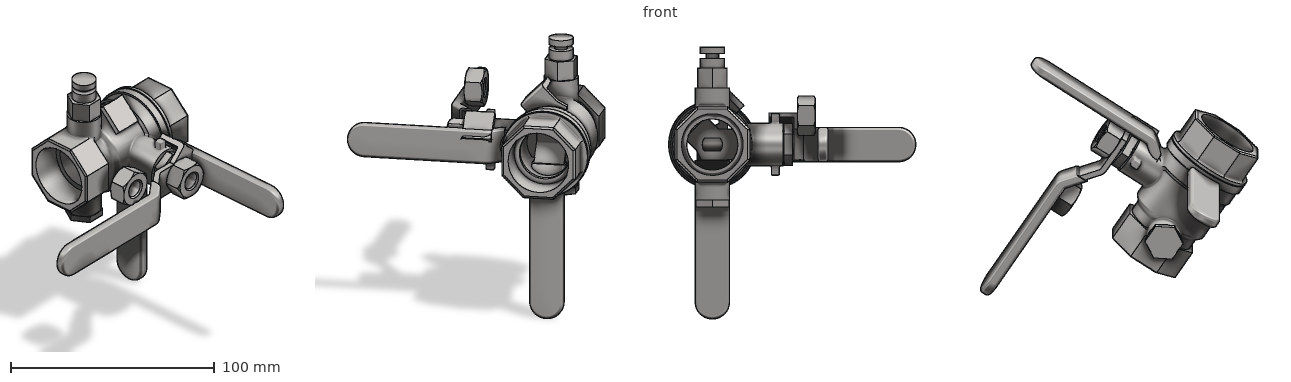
import cadquery as cq
import math


THREAD_DIAMETER = 30.3
THROAT_DIAMETER = 25.0
THREAD_DEPTH = 14.8
OCTAGON_FLATS = 36.9
OCTAGON_BEVEL = 1.1
OCTAGON_BEVEL_LENGTH = 0.5

BODY_END_Y = -40.1
BODY_OCTAGON_TOP_Y = -24.2
WAIST_DIAMETER = 34.2
WAIST_TOP_Y = -18.5
BARREL_DIAMETER = 39.0
BARREL_BOTTOM_Y = -16.1
BARREL_TOP_Y = 4.5
COLLAR_DIAMETER = 41.0
COLLAR_BOTTOM_Y = 5.9
BODY_FLANGE_BOTTOM_Y = 13.3
FLANGE_DIAMETER = 43.0
WAIST_FILLET = 1.6

SEAM_Y = 17.6
SEAM_DIAMETER = 42.5
SEAM_WIDTH = 0.4
CAP_FLANGE_TOP_Y = 19.6
CAP_END_Y = 34.5
CAP_FILLET = 1.1

NECK_DIAMETER = 21.0
NECK_END_X = 34.5
PORT_DIAMETER = 17.0
PORT_Y = -21.7
PORT_TOP_Z = 27.8
PORT_BOTTOM_Z = -27.3
PORT_FILLET = 1.0
NECK_FILLET = 1.3

LUG_X = 31.0
LUG_LENGTH = 4.0
LUG_WIDTH = 4.0
LUG_TIP_Z = 15.0
LUG_FILLET = 0.7

JOINT_TOLERANCE = 0.001

VENT_HEX_FLATS = 14.5
VENT_HEX_HEIGHT = 9.7
VENT_CAP_DIAMETER = 12.0
VENT_GROOVE_DIAMETER = 6.5
VENT_SHOULDER_HEIGHT = 4.8
VENT_GROOVE_HEIGHT = 2.3
VENT_DISC_HEIGHT = 3.2

PLUG_HEX_FLATS = 16.3
PLUG_HEIGHT = 3.2

GLAND_COLLAR_DIAMETER = 13.0
GLAND_COLLAR_LENGTH = 0.7
GLAND_HEX_FLATS = 17.9
GLAND_HEX_LENGTH = 4.0
STEM_DIAMETER = 10.0
STEM_FLATS = 6.5

NUT_FLATS = 16.8
NUT_LENGTH = 8.9
NUT_BEVEL_DIAMETER = 17.0
NUT_BEVEL_ANGLE = 30.0
NUT_BORE = 8.5
NUT_COUNTERSINK = 10.0
LOOSE_NUT_PLACE = (41.7, -40.0, 14.3)

STRIP_THICKNESS = 2.8
STRIP_WIDTH = 15.0
GRIP_THICKNESS = 5.0
GRIP_WIDTH = 17.0
GRIP_EDGE_FILLET = 1.5
GRIP_START = 22.2
HANDLE_REACH = 100.0
JOG_HEIGHT = 12.9
JOG_ANGLE = math.radians(38)
HUB_BEND_START = 12.2
HUB_BEND_RADIUS = 5.0
GRIP_BEND_RADIUS = 4.0
HUB_BACK = -7.8
HUB_BACK_SIDE = -2.8
HUB_CORNER = -5.4
TAB_REACH = 14.5
TAB_LENGTH = 15.0
TAB_OUTER_FILLET = 1.9
TAB_INNER_FILLET = 1.0
TAB_ANGLE = -135.0

MOUNTED_HUB_X = 41.4
LEVEL_HUB_Y = -0.5
HANGING_HUB_Y = 0.5
HANGING_HUB_Z = 14.3


def cylinder_x(diameter, start, length):
    return cq.Workplane("YZ", origin=(start, 0, 0)).circle(diameter / 2).extrude(length)


def cylinder_y(diameter, start, length):
    return cq.Workplane("XZ", origin=(0, start, 0)).circle(diameter / 2).extrude(-length)


def hexagon_corners(flats):
    """Width across corners of a hexagon from its width across flats."""
    return flats / math.cos(math.radians(30))


def octagon_end(inner_y, outer_y):
    """Octagonal end block from inner_y to outer_y, with its outer edges bevelled."""
    half_side_angle = 180 / 8
    corners = OCTAGON_FLATS / math.cos(math.radians(half_side_angle))
    length = outer_y - inner_y
    block = (
        cq.Workplane("XZ", origin=(0, inner_y, 0))
        .transformed(rotate=(0, 0, half_side_angle))
        .polygon(8, corners)
        .extrude(-length)
    )
    outer_face = ">Y" if length > 0 else "<Y"
    return block.faces(outer_face).chamfer(OCTAGON_BEVEL_LENGTH, OCTAGON_BEVEL)


def lies_on(edge, part):
    """True if the edge runs along the outer surface of the part."""
    skin = part.shells().val()
    points = [edge.positionAt(fraction).toTuple() for fraction in (0.2, 0.5, 0.8)]
    return all(skin.distance(cq.Vertex.makeVertex(*point)) < JOINT_TOLERANCE for point in points)


def fillet_joint(part, addition, radius):
    """Join an addition to a part and fillet the edges where their surfaces meet."""
    joined = part.union(addition)
    joint = [edge for edge in joined.edges().vals() if lies_on(edge, addition) and lies_on(edge, part)]
    return joined.newObject(joint).fillet(radius)


def jog_edge(offset):
    """Straight and arc points of the bent centre line, moved sideways by offset."""
    half = JOG_ANGLE / 2
    first_corner = HUB_BEND_START + HUB_BEND_RADIUS * math.tan(half)
    second_corner = first_corner + JOG_HEIGHT / math.tan(JOG_ANGLE)
    bend_end = second_corner + GRIP_BEND_RADIUS * math.tan(half)
    hub_radius = HUB_BEND_RADIUS - offset
    grip_radius = GRIP_BEND_RADIUS + offset
    grip_centre_y = JOG_HEIGHT - GRIP_BEND_RADIUS

    def hub_point(angle):
        return (
            HUB_BEND_START + hub_radius * math.sin(angle),
            HUB_BEND_RADIUS - hub_radius * math.cos(angle),
        )

    def grip_point(angle):
        return (
            bend_end - grip_radius * math.sin(angle),
            grip_centre_y + grip_radius * math.cos(angle),
        )

    hub_bend = [hub_point(angle) for angle in (0, half, JOG_ANGLE)]
    grip_bend = [grip_point(angle) for angle in (JOG_ANGLE, half, 0)]
    return hub_bend, grip_bend


def jog_strip(thickness, width):
    """Strip along X that steps up by the jog height between its two bends."""
    half = thickness / 2
    low_hub, low_grip = jog_edge(-half)
    high_hub, high_grip = jog_edge(half)
    return (
        cq.Workplane("XY")
        .moveTo(HUB_BACK, -half)
        .lineTo(*low_hub[0])
        .threePointArc(*low_hub[1:])
        .lineTo(*low_grip[0])
        .threePointArc(*low_grip[1:])
        .lineTo(HANDLE_REACH, JOG_HEIGHT - half)
        .lineTo(HANDLE_REACH, JOG_HEIGHT + half)
        .lineTo(*high_grip[2])
        .threePointArc(high_grip[1], high_grip[0])
        .lineTo(*high_hub[2])
        .threePointArc(high_hub[1], high_hub[0])
        .lineTo(HUB_BACK, half)
        .close()
        .extrude(width / 2, both=True)
    )


def plan_prism(outline):
    """Prism along Y from an outline in the XZ plane, tall enough for the whole handle."""
    return outline.extrude(2 * JOG_HEIGHT, both=True)


def handle_strip():
    half = STRIP_WIDTH / 2
    tab_side = half * (math.sqrt(2) - 1)
    strip_end = GRIP_START + STRIP_THICKNESS
    outline = (
        cq.Workplane("XZ")
        .polyline(
            [
                (HUB_CORNER, -half),
                (strip_end, -half),
                (strip_end, half),
                (tab_side, half),
                (HUB_BACK, HUB_BACK_SIDE),
            ]
        )
        .close()
    )
    return jog_strip(STRIP_THICKNESS, STRIP_WIDTH).intersect(plan_prism(outline))


def handle_tab():
    """Stop tab: an arm from the hub that turns down through a right angle."""
    half = STRIP_THICKNESS / 2
    inner = TAB_REACH - STRIP_THICKNESS
    tip_y = half - TAB_LENGTH
    arm = (
        cq.Workplane("XY")
        .polyline(
            [
                (0, -half),
                (inner, -half),
                (inner, tip_y),
                (TAB_REACH, tip_y),
                (TAB_REACH, half),
                (0, half),
            ]
        )
        .close()
        .extrude(STRIP_WIDTH / 2, both=True)
    )
    arm = arm.edges(cq.NearestToPointSelector((TAB_REACH, half, 0))).fillet(TAB_OUTER_FILLET)
    arm = arm.edges(cq.NearestToPointSelector((inner, -half, 0))).fillet(TAB_INNER_FILLET)
    return arm.rotate((0, 0, 0), (0, 1, 0), TAB_ANGLE)


def handle_grip():
    """Thick grip with a round tip and rounded long edges."""
    half = GRIP_WIDTH / 2
    round_start = HANDLE_REACH - half
    outline = (
        cq.Workplane("XZ")
        .moveTo(GRIP_START, -half)
        .lineTo(round_start, -half)
        .threePointArc((HANDLE_REACH, 0), (round_start, half))
        .lineTo(GRIP_START, half)
        .close()
    )
    grip = jog_strip(GRIP_THICKNESS, GRIP_WIDTH).intersect(plan_prism(outline))
    middle = (GRIP_START + HANDLE_REACH) / 2
    for face_y in (JOG_HEIGHT + GRIP_THICKNESS / 2, JOG_HEIGHT - GRIP_THICKNESS / 2):
        side_edge = grip.edges(cq.NearestToPointSelector((middle, face_y, half)))
        grip = side_edge.fillet(GRIP_EDGE_FILLET)
    return grip


def double_d(length):
    """Round bar along Y, centred on the origin, with flats above and below."""
    flats = cq.Workplane("XY").box(STEM_DIAMETER, length, STEM_FLATS)
    return cylinder_y(STEM_DIAMETER, -length / 2, length).intersect(flats)


def handle():
    """Handle pointing along +X with its hub hole along Y through the origin."""
    hub_hole = double_d(STRIP_THICKNESS)
    return handle_strip().union(handle_tab()).union(handle_grip()).cut(hub_hole)


blank_handle = handle()
mounted_handle = blank_handle.rotate((0, 0, 0), (0, 0, 1), -90).translate((MOUNTED_HUB_X, 0, 0))
level_handle = blank_handle.translate((0, LEVEL_HUB_Y, 0)).cut(mounted_handle)
hanging_handle = (
    blank_handle.rotate((0, 0, 0), (0, 1, 0), 90)
    .translate((0, HANGING_HUB_Y, HANGING_HUB_Z))
    .cut(level_handle)
)


def body_barrel():
    """Turned middle of the body, from the octagon to the seam."""
    waist = WAIST_DIAMETER / 2
    barrel = BARREL_DIAMETER / 2
    collar = COLLAR_DIAMETER / 2
    flange = FLANGE_DIAMETER / 2
    barrel_solid = (
        cq.Workplane("XY")
        .polyline(
            [
                (0, BODY_OCTAGON_TOP_Y),
                (waist, BODY_OCTAGON_TOP_Y),
                (waist, WAIST_TOP_Y),
                (barrel, BARREL_BOTTOM_Y),
                (barrel, BARREL_TOP_Y),
                (collar, COLLAR_BOTTOM_Y),
                (collar, BODY_FLANGE_BOTTOM_Y),
                (flange, BODY_FLANGE_BOTTOM_Y),
                (flange, SEAM_Y),
                (0, SEAM_Y),
            ]
        )
        .close()
        .revolve(360, (0, 0, 0), (0, 1, 0))
    )
    waist_edges = cq.selectors.BoxSelector(
        (-barrel, WAIST_TOP_Y - WAIST_FILLET, -barrel),
        (barrel, BARREL_BOTTOM_Y + WAIST_FILLET, barrel),
    )
    return barrel_solid.edges("%CIRCLE").edges(waist_edges).fillet(WAIST_FILLET)


def stop_lugs():
    return (
        cq.Workplane("XY", origin=(LUG_X, 0, 0))
        .box(LUG_LENGTH, LUG_WIDTH, 2 * LUG_TIP_Z)
        .edges()
        .fillet(LUG_FILLET)
    )


def bore(end_y, inner_y):
    """Threaded mouth at end_y and the narrower throat on to inner_y."""
    inward = math.copysign(1, inner_y - end_y)
    mouth = cylinder_y(THREAD_DIAMETER, end_y, inward * THREAD_DEPTH)
    return mouth.union(cylinder_y(THROAT_DIAMETER, end_y, inner_y - end_y))


def valve_body():
    ports = (
        cq.Workplane("XY", origin=(0, PORT_Y, PORT_BOTTOM_Z))
        .circle(PORT_DIAMETER / 2)
        .extrude(PORT_TOP_Z - PORT_BOTTOM_Z)
    )
    body = body_barrel().union(octagon_end(BODY_OCTAGON_TOP_Y, BODY_END_Y))
    body = fillet_joint(body, ports, PORT_FILLET)
    body = fillet_joint(body, cylinder_x(NECK_DIAMETER, 0, NECK_END_X), NECK_FILLET)
    body = fillet_joint(body, stop_lugs(), LUG_FILLET)
    return body.cut(bore(BODY_END_Y, SEAM_Y)).cut(level_handle).cut(hanging_handle)


def end_cap():
    flange_start = SEAM_Y + SEAM_WIDTH
    block = cylinder_y(FLANGE_DIAMETER, flange_start, CAP_FLANGE_TOP_Y - flange_start)
    block = fillet_joint(block, octagon_end(CAP_FLANGE_TOP_Y, CAP_END_Y), CAP_FILLET)
    block = block.union(cylinder_y(SEAM_DIAMETER, SEAM_Y, SEAM_WIDTH))
    return block.cut(bore(CAP_END_Y, SEAM_Y))


def vent_fitting():
    hexagon = (
        cq.Workplane("XY", origin=(0, PORT_Y, PORT_TOP_Z))
        .transformed(rotate=(0, 0, 90))
        .polygon(6, hexagon_corners(VENT_HEX_FLATS))
        .extrude(VENT_HEX_HEIGHT)
    )
    sections = [
        (VENT_CAP_DIAMETER, VENT_SHOULDER_HEIGHT),
        (VENT_GROOVE_DIAMETER, VENT_GROOVE_HEIGHT),
        (VENT_CAP_DIAMETER, VENT_DISC_HEIGHT),
    ]
    fitting = hexagon
    for diameter, height in sections:
        fitting = fitting.faces(">Z").workplane().circle(diameter / 2).extrude(height)
    return fitting


def drain_plug():
    return (
        cq.Workplane("XY", origin=(0, PORT_Y, PORT_BOTTOM_Z))
        .transformed(rotate=(0, 0, 90))
        .polygon(6, hexagon_corners(PLUG_HEX_FLATS))
        .extrude(-PLUG_HEIGHT)
    )


def stem_gland():
    """Gland collar and hexagon, then the flatted stem that fills the handle's hub hole."""
    hex_start = NECK_END_X + GLAND_COLLAR_LENGTH
    hex_end = hex_start + GLAND_HEX_LENGTH
    plate_inner = MOUNTED_HUB_X - STRIP_THICKNESS / 2
    hexagon = (
        cq.Workplane("YZ", origin=(hex_start, 0, 0))
        .transformed(rotate=(0, 0, 90))
        .polygon(6, hexagon_corners(GLAND_HEX_FLATS))
        .extrude(GLAND_HEX_LENGTH)
    )
    flatted_end = double_d(STRIP_THICKNESS).rotate((0, 0, 0), (0, 0, 1), -90)
    return (
        cylinder_x(GLAND_COLLAR_DIAMETER, NECK_END_X, GLAND_COLLAR_LENGTH)
        .union(hexagon)
        .union(cylinder_x(STEM_DIAMETER, hex_end, plate_inner - hex_end))
        .union(flatted_end.translate((MOUNTED_HUB_X, 0, 0)))
    )


def nut(turn):
    """Nut along +X from the origin, turned about its axis by turn degrees."""
    corner_radius = hexagon_corners(NUT_FLATS) / 2
    bevel_radius = NUT_BEVEL_DIAMETER / 2
    bevel_length = (corner_radius - bevel_radius) * math.tan(math.radians(NUT_BEVEL_ANGLE))
    envelope = cylinder_x(2 * corner_radius, 0, NUT_LENGTH)
    envelope = envelope.edges().chamfer(bevel_length, corner_radius - bevel_radius)
    countersink = (NUT_COUNTERSINK - NUT_BORE) / 2
    return (
        cq.Workplane("YZ")
        .transformed(rotate=(0, 0, turn))
        .polygon(6, 2 * corner_radius)
        .extrude(NUT_LENGTH)
        .intersect(envelope)
        .cut(cylinder_x(NUT_BORE, 0, NUT_LENGTH))
        .faces("<X or >X")
        .edges("%CIRCLE")
        .edges(cq.selectors.RadiusNthSelector(0))
        .chamfer(countersink)
    )


mounted_nut_place = (MOUNTED_HUB_X + STRIP_THICKNESS / 2, 0, 0)
nut_settings = [(0, mounted_nut_place), (90, LOOSE_NUT_PLACE)]
nuts = [nut(turn).translate(place) for turn, place in nut_settings]
handles = [mounted_handle, level_handle, hanging_handle]
valve_parts = [valve_body(), end_cap(), stem_gland(), vent_fitting(), drain_plug()]

result = cq.Compound.makeCompound(
    [part.solids().val() for part in valve_parts + handles + nuts]
)